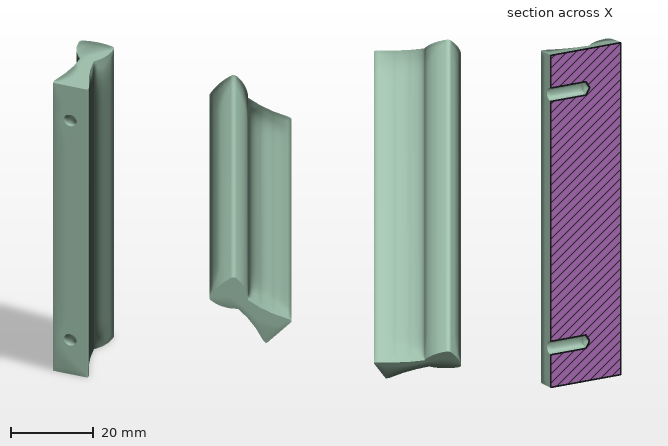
import cadquery as cq
import math

length = 84.0
width = 9.0
depth = 20.0
half_width = width / 2

foot_height = 1.0
foot_shoulder_radius = 2.35
foot_edge_radius = 0.25
waist_y = 12.0
waist_half_width = 1.8
neck_mid_y = 6.7
neck_mid_half_width = 2.5
grip_top_y = 18.5
shoulder_y = 19.3
crown_corner_radius = 1.0

grip_rise = grip_top_y - waist_y
grip_bulge = half_width - waist_half_width
grip_radius = (grip_rise**2 + grip_bulge**2) / (2 * grip_bulge)

hole_diameter = 3.3
hole_spacing = 64.0
hole_depth = 10.0
drill_point_angle = 118.0


def make_body():
    """Extrude the symmetric section along Z and round its outer edges."""
    section = (
        cq.Workplane("XY")
        .moveTo(-half_width, 0)
        .lineTo(half_width, 0)
        .lineTo(half_width, foot_height)
        .threePointArc((neck_mid_half_width, neck_mid_y), (waist_half_width, waist_y))
        .radiusArc((half_width, grip_top_y), -grip_radius)
        .lineTo(half_width, shoulder_y)
        .threePointArc((0, depth), (-half_width, shoulder_y))
        .lineTo(-half_width, grip_top_y)
        .radiusArc((-waist_half_width, waist_y), -grip_radius)
        .threePointArc((-neck_mid_half_width, neck_mid_y), (-half_width, foot_height))
        .close()
    )
    body = section.extrude(length)
    body = body.edges("|Z").edges(">Y").fillet(crown_corner_radius)
    foot_zone = cq.selectors.BoxSelector(
        (-width, foot_height / 2, 0), (width, 2 * foot_height, length)
    )
    body = body.edges("|Z").edges(foot_zone).fillet(foot_shoulder_radius)
    return body.edges("|Z").edges("<Y").fillet(foot_edge_radius)


def make_hole(z):
    """Revolve a blind drilled hole about an axis parallel to Y."""
    radius = hole_diameter / 2
    point_length = radius / math.tan(math.radians(drill_point_angle / 2))
    return (
        cq.Workplane("XY")
        .polyline([(0, 0), (radius, 0), (radius, hole_depth), (0, hole_depth + point_length)])
        .close()
        .revolve(360, (0, 0), (0, 1))
        .translate((0, 0, z))
    )


result = make_body()
for side in (-1, 1):
    result = result.cut(make_hole(length / 2 + side * hole_spacing / 2))